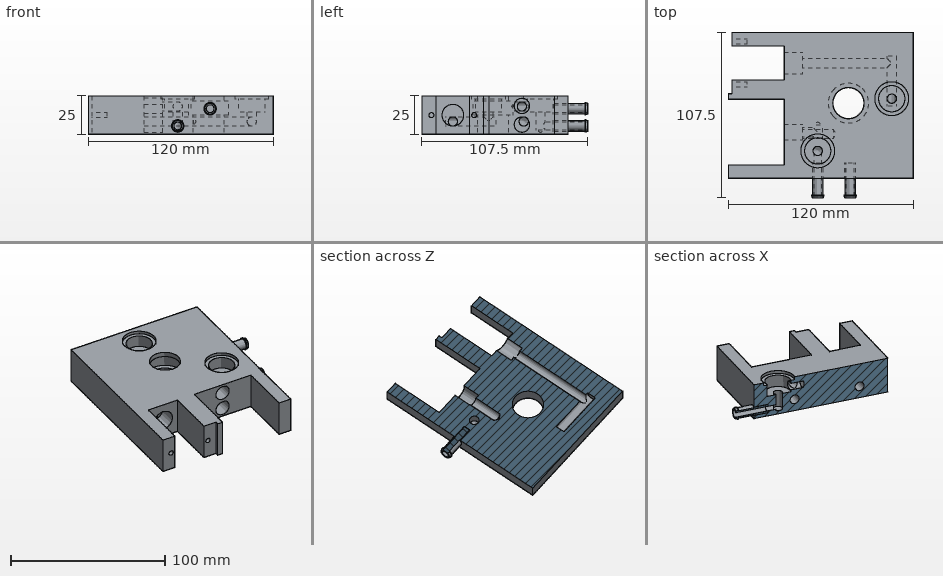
import cadquery as cq
import math

LENGTH = 120.0
WIDTH = 94.8
HEIGHT = 25.0
MID_HEIGHT = HEIGHT / 2

SLOT_END = 36.2
FRONT_FINGER = 8.8
REAR_FINGER = 9.0
FRONT_SLOT_REAR = 51.2
REAR_SLOT_FRONT = 64.0
REAR_SETBACK = 2.3
LIP_WIDTH = 3.7

TIP_HOLE_DIA = 3.2
TIP_HOLE_DEPTH = 10.0
TIP_HOLE_YS = [61.0, 88.7]

PORT_RIM_DIA = 22.0
PORT_RIM_DEPTH = 2.0
PORT_DIA = 17.0
PORT_DEPTH = 10.3
FRONT_PORT = (58.0, 17.9)
RIGHT_PORT = (106.0, 51.7)

MAIN_HOLE = (77.9, 48.8)
MAIN_HOLE_DIA = 20.0
GROOVE_DIA = 26.0
GROOVE_TOP_DEPTH = 3.4
GROOVE_BOTTOM_DEPTH = 12.5

PASSAGE_DIA = 6.0
DRILL_POINT_HEIGHT = PASSAGE_DIA / 2 / math.tan(math.radians(59))
CROSSING_OVERRUN = 4.8
MOUTH_DIA = 10.0
MOUTH_DEPTH = 12.0
MOUTH_Y = 30.0
UPPER_MOUTH_Z = 18.5
LOWER_MOUTH_Z = 6.4
UPPER_PASSAGE_Z = 18.1
LOWER_PASSAGE_Y = 28.8
LOW_PASSAGE_Z = 8.4
LOWER_PASSAGE_END = 68.0
REAR_MOUTH_DIA = 14.0
REAR_MOUTH_DEPTH = 12.0
REAR_MOUTH_Y = 74.8

FITTING_DIA = 7.0
FITTING_BORE_DIA = 5.0
FITTING_REACH = 12.7
FITTING_INSERTION = 10.0
BARB_DIA = 8.0
BARB_LENGTH = 1.9
BARB_LAND = 0.5
FRONT_FITTING_Z = 5.5
FRONT_PORT_DRILL_END = FRONT_FITTING_Z - FITTING_BORE_DIA / 2
FITTING_PLACES = [(FRONT_PORT[0], FRONT_FITTING_Z), (79.0, 16.7)]

X_AXIS = cq.Vector(1, 0, 0)
Y_AXIS = cq.Vector(0, 1, 0)
DOWN = cq.Vector(0, 0, -1)


def drill(start, direction, diameter, depth):
    """Flat-ended cylinder from a start point along a direction."""
    return cq.Workplane(cq.Solid.makeCylinder(diameter / 2, depth, cq.Vector(*start), direction))


def pointed_drill(start, direction, depth):
    """Passage ending in the cone left by a drill point."""
    tip_start = cq.Vector(*start) + direction * depth
    tip = cq.Solid.makeCone(PASSAGE_DIA / 2, 0, DRILL_POINT_HEIGHT, tip_start, direction)
    return drill(start, direction, PASSAGE_DIA, depth).union(cq.Workplane(tip))


def block_outline():
    lip_rear = FRONT_SLOT_REAR + LIP_WIDTH
    rear_slot_rear = WIDTH - REAR_FINGER
    points = [
        (0, 0),
        (LENGTH, 0),
        (LENGTH, WIDTH),
        (REAR_SETBACK, WIDTH),
        (REAR_SETBACK, rear_slot_rear),
        (SLOT_END, rear_slot_rear),
        (SLOT_END, REAR_SLOT_FRONT),
        (REAR_SETBACK, REAR_SLOT_FRONT),
        (REAR_SETBACK, lip_rear),
        (0, lip_rear),
        (0, FRONT_SLOT_REAR),
        (SLOT_END, FRONT_SLOT_REAR),
        (SLOT_END, FRONT_FINGER),
        (0, FRONT_FINGER),
    ]
    return cq.Workplane("XY").polyline(points).close().extrude(HEIGHT)


def port_cut(place):
    rim = drill((*place, HEIGHT), DOWN, PORT_RIM_DIA, PORT_RIM_DEPTH)
    return rim.union(drill((*place, HEIGHT), DOWN, PORT_DIA, PORT_DEPTH))


def main_hole_cut():
    groove_height = GROOVE_BOTTOM_DEPTH - GROOVE_TOP_DEPTH
    groove = drill((*MAIN_HOLE, HEIGHT - GROOVE_TOP_DEPTH), DOWN, GROOVE_DIA, groove_height)
    return drill((*MAIN_HOLE, HEIGHT), DOWN, MAIN_HOLE_DIA, HEIGHT).union(groove)


def front_port_passages():
    """Link the front port to the upper slot mouth and to the front fitting."""
    port_x, port_y = FRONT_PORT
    floor_z = HEIGHT - PORT_DEPTH
    return [
        drill((SLOT_END, MOUTH_Y, UPPER_PASSAGE_Z), X_AXIS, PASSAGE_DIA, port_x - SLOT_END),
        pointed_drill((port_x, port_y, UPPER_PASSAGE_Z), Y_AXIS, MOUTH_Y - port_y + CROSSING_OVERRUN),
        pointed_drill((port_x, port_y, floor_z), DOWN, floor_z - FRONT_PORT_DRILL_END),
        drill((port_x, 0, FRONT_FITTING_Z), Y_AXIS, FITTING_BORE_DIA, port_y),
    ]


def right_port_passages():
    """Link the right port to the mouth in the rear slot."""
    port_x, port_y = RIGHT_PORT
    floor_z = HEIGHT - PORT_DEPTH
    cross_start = port_y - CROSSING_OVERRUN
    cross_length = REAR_MOUTH_Y + CROSSING_OVERRUN - cross_start
    return [
        drill((SLOT_END, REAR_MOUTH_Y, LOW_PASSAGE_Z), X_AXIS, PASSAGE_DIA, port_x - SLOT_END),
        drill((port_x, cross_start, LOW_PASSAGE_Z), Y_AXIS, PASSAGE_DIA, cross_length),
        drill((port_x, port_y, floor_z), DOWN, PASSAGE_DIA, floor_z - LOW_PASSAGE_Z),
    ]


def slot_mouths():
    lower_start = (SLOT_END, LOWER_PASSAGE_Y, LOW_PASSAGE_Z)
    return [
        drill((SLOT_END, MOUTH_Y, UPPER_MOUTH_Z), X_AXIS, MOUTH_DIA, MOUTH_DEPTH),
        drill((SLOT_END, MOUTH_Y, LOWER_MOUTH_Z), X_AXIS, MOUTH_DIA, MOUTH_DEPTH),
        drill((SLOT_END, REAR_MOUTH_Y, MID_HEIGHT), X_AXIS, REAR_MOUTH_DIA, REAR_MOUTH_DEPTH),
        pointed_drill(lower_start, X_AXIS, LOWER_PASSAGE_END - SLOT_END),
    ]


def make_block():
    cuts = [port_cut(FRONT_PORT), port_cut(RIGHT_PORT), main_hole_cut()]
    cuts += front_port_passages() + right_port_passages() + slot_mouths()
    for y in TIP_HOLE_YS:
        cuts.append(drill((REAR_SETBACK, y, MID_HEIGHT), X_AXIS, TIP_HOLE_DIA, TIP_HOLE_DEPTH))
    for x, z in FITTING_PLACES:
        cuts.append(drill((x, 0, z), Y_AXIS, FITTING_DIA, FITTING_INSERTION))
    block = block_outline()
    for cut in cuts:
        block = block.cut(cut)
    return block


def make_fitting(x, z):
    """Tube along Y with a tapered barb at its free end."""
    bore = FITTING_BORE_DIA / 2
    tube = FITTING_DIA / 2
    barb = BARB_DIA / 2
    barb_start = -FITTING_REACH + BARB_LENGTH
    half_section = [
        (bore, FITTING_INSERTION),
        (tube, FITTING_INSERTION),
        (tube, barb_start),
        (barb, barb_start),
        (barb, barb_start - BARB_LAND),
        (tube, -FITTING_REACH),
        (bore, -FITTING_REACH),
    ]
    profile = cq.Workplane("XY").polyline(half_section).close()
    return profile.revolve(360, (0, 0, 0), (0, 1, 0)).translate((x, 0, z))


block = make_block()
fittings = [make_fitting(x, z) for x, z in FITTING_PLACES]
result = cq.Compound.makeCompound([block.val(), *[fitting.val() for fitting in fittings]])